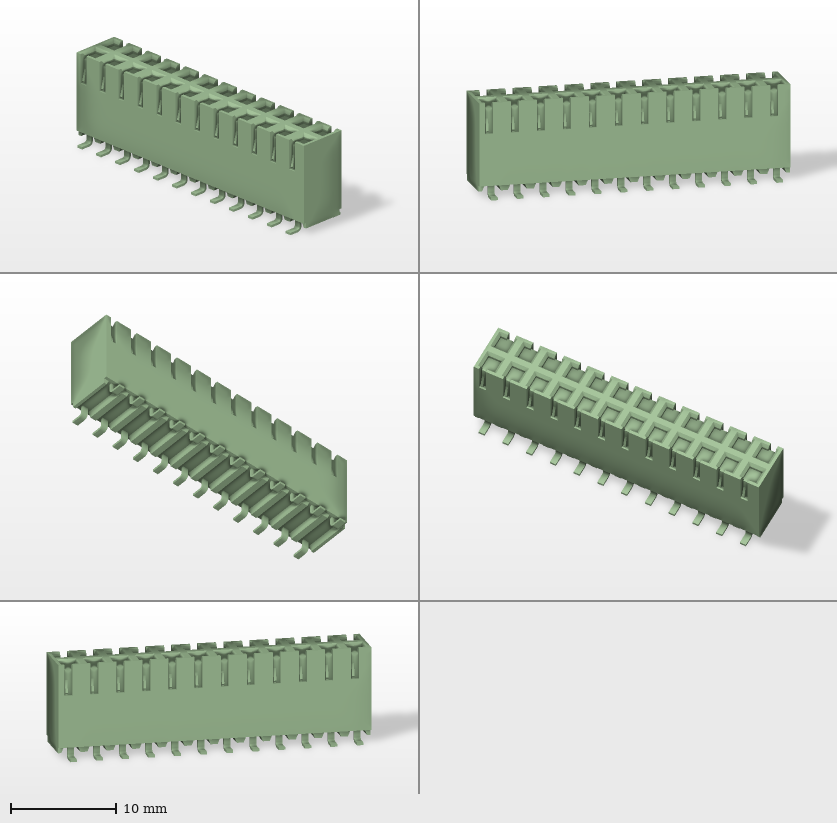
import cadquery as cq

columns = 12
length = 30.45
housing_width = 5.1
total_height = 9.35
pitch = length / columns
row_offset = pitch / 2
half_width = housing_width / 2

underside_z = 1.22
foot_z = 0.65
foot_inset = 0.3
foot_top_half = 0.58
foot_tip_half = 0.35

opening = 1.92
throat = 1.4
lead_in_depth = 0.3
floor_depth = 0.58
floor_z = total_height - floor_depth
throat_edge_y = -throat / 2

slot_left = -0.7
slot_right = 0.05
slot_depth = 3.05
slot_bottom_z = total_height - slot_depth
outer_face_y = row_offset - half_width

contact_left = -0.58
contact_step = 0.18
contact_face_y = throat_edge_y - contact_step
bump_width = 0.25
bump_reach = 0.3
bump_tail_reach = 0.18
bump_start_depth = 1.58
bump_peak_depth = 2.77
bump_tail_depth = 2.92

tail_width = 0.65
tail_thickness = 0.25
tail_outer_y = 2.15
tail_tip_y = 3.38
bend_inner_radius = 0.25
bend_outer_radius = bend_inner_radius + tail_thickness
tail_embed = 0.15


def block(x_range, y_range, z_range):
    """Box spanning the given coordinate ranges."""
    size = [high - low for low, high in (x_range, y_range, z_range)]
    corner = (x_range[0], y_range[0], z_range[0])
    return cq.Workplane("XY").box(*size, centered=False).translate(corner)


def extrude_along_x(profile, x_start, width):
    """Extrude a closed YZ profile by width, starting at x_start."""
    return profile.extrude(width).translate((x_start, 0, 0))


def foot(x):
    """Tapered standoff foot running across the housing."""
    depth = housing_width - 2 * foot_inset
    return (
        cq.Workplane("XZ")
        .polyline([
            (x - foot_top_half, underside_z),
            (x + foot_top_half, underside_z),
            (x + foot_tip_half, foot_z),
            (x - foot_tip_half, foot_z),
        ])
        .close()
        .extrude(depth / 2, both=True)
    )


def socket_cut():
    """Flared square opening and side slot of a front-row socket."""
    throat_cut = cq.Workplane("XY").workplane(offset=floor_z).rect(throat, throat).extrude(floor_depth)
    lead_in_cut = (
        cq.Workplane("XY")
        .workplane(offset=total_height - lead_in_depth)
        .rect(throat, throat)
        .workplane(offset=lead_in_depth)
        .rect(opening, opening)
        .loft(ruled=True)
    )
    slot_cut = block(
        (slot_left, slot_right),
        (outer_face_y, throat_edge_y),
        (slot_bottom_z, total_height),
    )
    return throat_cut.union(lead_in_cut).union(slot_cut)


def contact():
    """Contact face inside the side slot, with its bent-out spring bump."""
    face = block(
        (contact_left, slot_right),
        (contact_face_y, throat_edge_y),
        (slot_bottom_z, floor_z),
    )
    bump_profile = (
        cq.Workplane("YZ")
        .polyline([
            (contact_face_y, total_height - bump_start_depth),
            (contact_face_y - bump_reach, total_height - bump_peak_depth),
            (contact_face_y - bump_tail_reach, total_height - bump_tail_depth),
            (contact_face_y - bump_tail_reach, slot_bottom_z),
            (contact_face_y, slot_bottom_z),
        ])
        .close()
    )
    return face.union(extrude_along_x(bump_profile, contact_left, bump_width))


def solder_tail():
    """Gull-wing tail of a front-row socket, relative to the socket centre."""
    outer_y = row_offset - tail_outer_y
    inner_y = outer_y + tail_thickness
    tip_y = row_offset - tail_tip_y
    top_z = underside_z + tail_embed
    profile = (
        cq.Workplane("YZ")
        .moveTo(tip_y, 0)
        .lineTo(inner_y - bend_outer_radius, 0)
        .radiusArc((inner_y, bend_outer_radius), -bend_outer_radius)
        .lineTo(inner_y, top_z)
        .lineTo(outer_y, top_z)
        .lineTo(outer_y, bend_outer_radius)
        .radiusArc((outer_y - bend_inner_radius, tail_thickness), bend_inner_radius)
        .lineTo(tip_y, tail_thickness)
        .close()
    )
    return extrude_along_x(profile, -tail_width / 2, tail_width)


def at_every_socket(feature):
    """Copies of a front-row feature at all sockets; the back row is turned by 180 degrees."""
    turned = feature.rotate((0, 0, 0), (0, 0, 1), 180)
    copies = cq.Workplane("XY")
    for column in range(columns):
        x = (column - (columns - 1) / 2) * pitch
        copies = copies.add(feature.translate((x, -row_offset, 0)))
        copies = copies.add(turned.translate((x, row_offset, 0)))
    return cq.Compound.makeCompound(copies.vals())


body = block(
    (-length / 2, length / 2),
    (-half_width, half_width),
    (underside_z, total_height),
)

feet = foot(-length / 2)
for gap in range(1, columns + 1):
    feet = feet.union(foot(-length / 2 + gap * pitch))
feet = feet.intersect(cq.Workplane("XY").box(length, housing_width, 2 * total_height))

housing = body.union(feet).cut(at_every_socket(socket_cut()))
result = (
    housing
    .union(at_every_socket(contact()))
    .union(at_every_socket(solder_tail()))
    .clean()
)